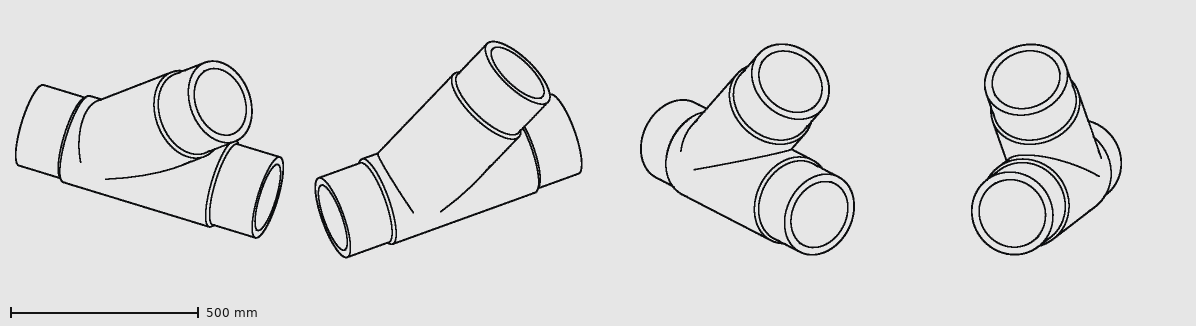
import cadquery as cq

pipe_diameter = 225.0
body_diameter = 241.5
bore_diameter = 184.0
body_chamfer = (body_diameter - pipe_diameter) / 2

run_length = 678.0
spigot_length = 122.0

branch_angle = 45.0
branch_length = 474.5
branch_start_x = -133.0

run_body_length = run_length - 2 * spigot_length
branch_body_length = branch_length - spigot_length


def rod(diameter, length):
    """Cylinder standing on the XY plane."""
    return cq.Workplane("XY").circle(diameter / 2).extrude(length)


def along_run(solid, start_x):
    """Lay an upright solid along +X with its base at start_x."""
    return solid.rotate((0, 0, 0), (0, 1, 0), 90).translate((start_x, 0, 0))


def along_branch(solid):
    """Lean an upright solid onto the branch axis."""
    tilted = solid.rotate((0, 0, 0), (0, 1, 0), 90 - branch_angle)
    return tilted.translate((branch_start_x, 0, 0))


run_body = rod(body_diameter, run_body_length).edges().chamfer(body_chamfer)
run = along_run(rod(pipe_diameter, run_length), -run_length / 2)
run = run.union(along_run(run_body, -run_body_length / 2))

branch_body = rod(body_diameter, branch_body_length).faces(">Z").edges().chamfer(body_chamfer)
branch = along_branch(rod(pipe_diameter, branch_length).union(branch_body))

run_bore = along_run(rod(bore_diameter, run_length), -run_length / 2)
branch_bore = along_branch(rod(bore_diameter, branch_length))

result = run.union(branch).cut(run_bore).cut(branch_bore)